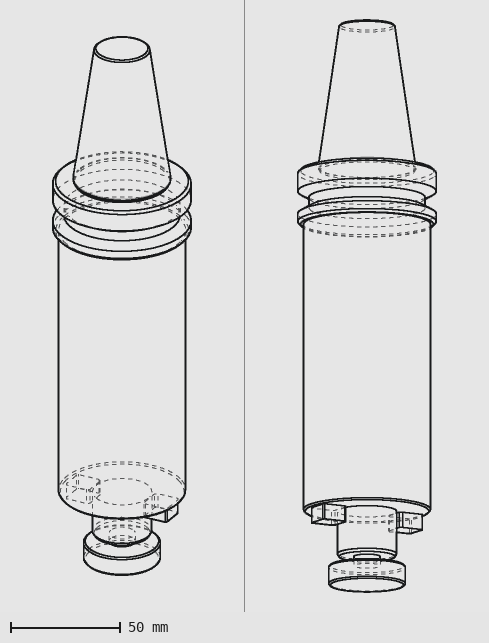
import cadquery as cq

total_length = 259.5
flange_radius = 63.0 / 2
body_radius = 57.8 / 2
groove_radius = 53.0 / 2
gauge_radius = 44.4 / 2
undercut_radius = 43.3 / 2
pilot_radius = 27.0 / 2
screw_head_radius = 35.0 / 2
screw_shank_radius = 12.0 / 2

screw_head_top = 9.0
pilot_bottom = 13.2
body_bottom = 34.2
flange_bottom = 167.0
flange_top = 192.0
gauge_collar_bottom = 193.0
gauge_line = 194.0

groove_lower_edge = 172.0
groove_upper_edge = 182.4
groove_flank_height = 2.9

taper_half_slope = 7 / 24 / 2
taper_end_radius = gauge_radius - (total_length - gauge_line) * taper_half_slope

small_chamfer = 0.8
edge_chamfer = 1.3

key_width = 12.0
key_outer_reach = 26.2
key_inner_reach = 14.0
key_height = 7.0
key_corner_width = 1.0
key_outer_corner = 0.5
key_inner_corner = 1.3


def cylinder(radius, bottom, top):
    return cq.Workplane("XY").workplane(offset=bottom).circle(radius).extrude(top - bottom)


def make_taper():
    taper = (
        cq.Workplane("XZ")
        .moveTo(0, gauge_line)
        .lineTo(gauge_radius, gauge_line)
        .lineTo(taper_end_radius, total_length)
        .lineTo(0, total_length)
        .close()
        .revolve(360, (0, 0, 0), (0, 1, 0))
    )
    return taper.faces(">Z").chamfer(small_chamfer)


def make_flange():
    flange = cylinder(flange_radius, flange_bottom, flange_top)
    flange = flange.faces("<Z or >Z").edges().chamfer(edge_chamfer)
    groove = (
        cq.Workplane("XZ")
        .moveTo(flange_radius, groove_lower_edge)
        .lineTo(groove_radius, groove_lower_edge + groove_flank_height)
        .lineTo(groove_radius, groove_upper_edge - groove_flank_height)
        .lineTo(flange_radius, groove_upper_edge)
        .close()
        .revolve(360, (0, 0, 0), (0, 1, 0))
    )
    return flange.cut(groove)


def make_key(side):
    """Drive key below the body, on the +X (side = 1) or -X (side = -1) half."""
    half_width = key_width / 2
    half_end_width = half_width - key_corner_width
    half_outline = [
        (key_inner_reach, half_end_width),
        (key_inner_reach + key_inner_corner, half_width),
        (key_outer_reach - key_outer_corner, half_width),
        (key_outer_reach, half_end_width),
    ]
    outline = [(side * x, y) for x, y in half_outline]
    outline += [(x, -y) for x, y in reversed(outline)]
    return (
        cq.Workplane("XY")
        .workplane(offset=body_bottom - key_height)
        .polyline(outline)
        .close()
        .extrude(key_height)
    )


body = cylinder(body_radius, body_bottom, flange_bottom).faces("<Z").chamfer(small_chamfer)
pilot = cylinder(pilot_radius, pilot_bottom, body_bottom).faces("<Z").chamfer(edge_chamfer, small_chamfer)
screw_shank = cylinder(screw_shank_radius, screw_head_top, pilot_bottom)
screw_head = cylinder(screw_head_radius, 0, screw_head_top).edges().chamfer(small_chamfer)
undercut = cylinder(undercut_radius, flange_top, gauge_collar_bottom)
gauge_collar = cylinder(gauge_radius, gauge_collar_bottom, gauge_line)

result = make_taper().union(gauge_collar).union(undercut).union(make_flange()).union(body)
result = result.union(pilot).union(screw_shank).union(screw_head)
for side in (-1, 1):
    result = result.union(make_key(side))